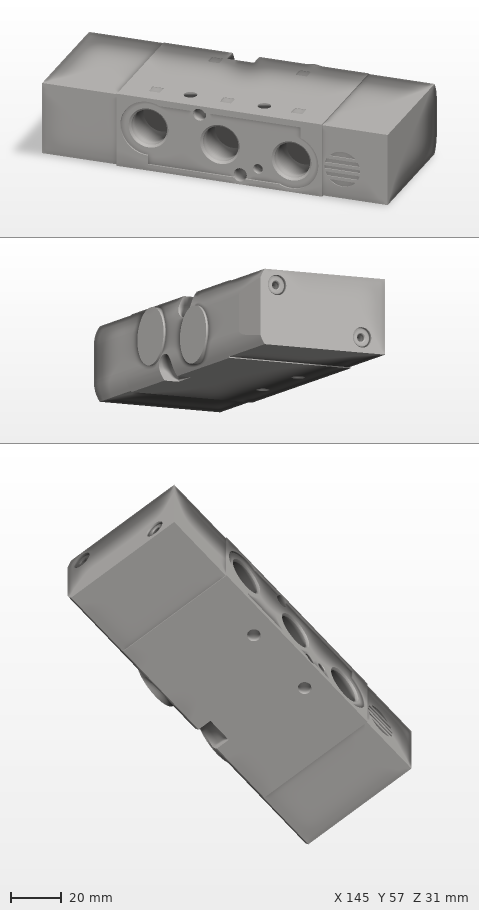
import cadquery as cq
import math


VALVE_LENGTH = 145.0

HOUSING_LENGTH = 86.1
HOUSING_HEIGHT = 31.0
CROWN_Y = 56.0
CROWN_FLAT_HALF_HEIGHT = 7.2
EDGE_Y = 53.0

LEFT_CAP_LENGTH = 31.5
RIGHT_CAP_LENGTH = VALVE_LENGTH - HOUSING_LENGTH - LEFT_CAP_LENGTH
CAP_INSET = 0.5
TAPER_LENGTH = 17.4
TAPER_DROP = 0.7

PORT_DIAMETER = 15.0
PORT_RIM_DIAMETER = 16.7
PORT_DEPTH = 14.5
PORT_PITCH = 30.0
PORT_RISE = 2.5
PILOT_DIAMETER = 3.8
PILOT_RIM_DIAMETER = 4.0
PILOT_DEPTH = 4.4
PILOT_X = 16.0
PILOT_Z = -8.0

GASKET_DIAMETER = 23.0
GASKET_HALF_HEIGHT = 12.9
GASKET_RIGHT_X = 34.1
GASKET_DEPTH = 0.7

MOUNT_DIAMETER = 5.4
TOP_MOUNT_X = 15.5
TOP_MOUNT_Y = 9.1
CROSS_MOUNT_X = 8.5
CROSS_MOUNT_Z = 11.6
NOTCH_WIDTH = 11.2
NOTCH_FLOOR_Y = 47.0

PAD_DIAMETER = 23.0
PAD_Y = 57.0
PAD_X = 18.7
PAD_Z = 2.6

LABEL_SIZE = 4.6
LABEL_DEPTH = 0.1
BACK_LABELS_X = (-18.0, 18.8)
BACK_LABEL_Y = 44.1
FRONT_LABEL_X = 29.9

VENT_DIAMETER = 15.0
VENT_X = 51.5
VENT_Z = -2.6
VENT_DEPTH = 0.5
VENT_BAR_HEIGHT = 1.3
VENT_BAR_OFFSETS = (1.3, 4.4)

SCREW_DIAMETER = 8.1
SCREW_FACE_DIAMETER = 7.0
SCREW_LENGTH = 5.8
SCREW_SINK = 0.9
SCREW_LOW_Y = 10.6
SCREW_HIGH_Y = 48.0
SCREW_Z = 9.0
SOCKET_RIM_DIAMETER = 3.8
SOCKET_DIAMETER = 3.0
SOCKET_DEPTH = 1.7
SOCKET_CONE_DEPTH = 1.2

HOUSING_LEFT_X = -HOUSING_LENGTH / 2
HOUSING_RIGHT_X = HOUSING_LENGTH / 2
LEFT_END_X = HOUSING_LEFT_X - LEFT_CAP_LENGTH

HALF_HEIGHT = HOUSING_HEIGHT / 2
CROWN_DROP = CROWN_Y - EDGE_Y
CROWN_ARC_HEIGHT = HALF_HEIGHT - CROWN_FLAT_HALF_HEIGHT
CROWN_RADIUS = (CROWN_ARC_HEIGHT**2 + CROWN_DROP**2) / (2 * CROWN_DROP)


def crown_y_at(z):
    """Y of the rounded back at height z, above its flat middle."""
    rise = z - CROWN_FLAT_HALF_HEIGHT
    return CROWN_Y - CROWN_RADIUS + math.sqrt(CROWN_RADIUS**2 - rise**2)


def crowned_block(start_x, length, inset):
    """A block along X with a flat port side and a rounded back."""
    half_height = HALF_HEIGHT - inset
    edge_y = crown_y_at(half_height)
    middle_z = (CROWN_FLAT_HALF_HEIGHT + half_height) / 2
    middle_y = crown_y_at(middle_z)
    return (
        cq.Workplane("YZ", origin=(start_x, 0, 0))
        .moveTo(inset, -half_height)
        .lineTo(edge_y, -half_height)
        .threePointArc((middle_y, -middle_z), (CROWN_Y, -CROWN_FLAT_HALF_HEIGHT))
        .lineTo(CROWN_Y, CROWN_FLAT_HALF_HEIGHT)
        .threePointArc((middle_y, middle_z), (edge_y, half_height))
        .lineTo(inset, half_height)
        .close()
        .extrude(length)
    )


def rod_y(diameter, x, z, start_y, end_y):
    """A round bar along +Y."""
    axis = cq.Vector(0, 1, 0)
    return cq.Workplane(cq.Solid.makeCylinder(diameter / 2, end_y - start_y, cq.Vector(x, start_y, z), axis))


def rimmed_hole(diameter, rim_diameter, x, z, depth):
    """A blind hole from the recessed port face, with a 45 degree rim."""
    rim_depth = (rim_diameter - diameter) / 2
    rim = cq.Solid.makeCone(
        rim_diameter / 2, diameter / 2, rim_depth, cq.Vector(x, GASKET_DEPTH, z), cq.Vector(0, 1, 0)
    )
    return rod_y(diameter, x, z, GASKET_DEPTH, GASKET_DEPTH + depth).union(cq.Workplane(rim))


def gasket_recess():
    """A pocket made of a disc around each outer port and a rectangle that joins them."""
    recess = cq.Workplane("XY").box(
        GASKET_RIGHT_X + PORT_PITCH, GASKET_DEPTH, 2 * GASKET_HALF_HEIGHT, centered=(False, False, True)
    ).translate((-PORT_PITCH, 0, 0))
    for side in (-1, 1):
        recess = recess.union(rod_y(GASKET_DIAMETER, side * PORT_PITCH, -side * PORT_RISE, 0, GASKET_DEPTH))
    return recess


def mount_notch(side):
    """A round-bottomed notch, open to the top (side 1) or the bottom (side -1), along a cross hole."""
    x = -side * CROSS_MOUNT_X
    z = side * CROSS_MOUNT_Z
    depth = PAD_Y - NOTCH_FLOOR_Y
    opening = cq.Workplane("XY").box(NOTCH_WIDTH, depth, HALF_HEIGHT, centered=(True, False, True))
    opening = opening.translate((x, NOTCH_FLOOR_Y, z + side * HALF_HEIGHT / 2))
    return rod_y(NOTCH_WIDTH, x, z, NOTCH_FLOOR_Y, PAD_Y).union(opening)


def label_recesses():
    """Square recesses beside the ports, in the top face."""
    places = [(x, BACK_LABEL_Y) for x in BACK_LABELS_X]
    places += [(column * FRONT_LABEL_X, TOP_MOUNT_Y) for column in (-1, 0, 1)]
    return (
        cq.Workplane("XY", origin=(0, 0, HALF_HEIGHT))
        .pushPoints(places)
        .rect(LABEL_SIZE, LABEL_SIZE)
        .extrude(-LABEL_DEPTH)
    )


def make_housing():
    housing = crowned_block(HOUSING_LEFT_X, HOUSING_LENGTH, 0)
    for side in (-1, 1):
        housing = housing.union(rod_y(PAD_DIAMETER, side * PAD_X, side * PAD_Z, EDGE_Y, PAD_Y))

    housing = housing.cut(gasket_recess())
    for column in (-1, 0, 1):
        port = rimmed_hole(
            PORT_DIAMETER, PORT_RIM_DIAMETER, column * PORT_PITCH, -column * PORT_RISE, PORT_DEPTH
        )
        housing = housing.cut(port)
    housing = housing.cut(rimmed_hole(PILOT_DIAMETER, PILOT_RIM_DIAMETER, PILOT_X, PILOT_Z, PILOT_DEPTH))

    for side in (-1, 1):
        housing = housing.cut(rod_y(MOUNT_DIAMETER, -side * CROSS_MOUNT_X, side * CROSS_MOUNT_Z, 0, PAD_Y))
        housing = housing.cut(mount_notch(side))
    top_holes = (
        cq.Workplane("XY", origin=(0, 0, -HALF_HEIGHT))
        .pushPoints([(-TOP_MOUNT_X, TOP_MOUNT_Y), (TOP_MOUNT_X, TOP_MOUNT_Y)])
        .circle(MOUNT_DIAMETER / 2)
        .extrude(HOUSING_HEIGHT)
    )
    return housing.cut(top_holes).cut(label_recesses())


def screw_places():
    """Y and Z of the two screw axes, at opposite corners of the cap."""
    return [(SCREW_LOW_Y, -SCREW_Z), (SCREW_HIGH_Y, SCREW_Z)]


def make_left_cap():
    cap = crowned_block(LEFT_END_X, LEFT_CAP_LENGTH, CAP_INSET)
    taper = (
        cq.Workplane("XY")
        .moveTo(LEFT_END_X, CROWN_Y - TAPER_DROP)
        .lineTo(LEFT_END_X + TAPER_LENGTH, CROWN_Y)
        .lineTo(LEFT_END_X, CROWN_Y)
        .close()
        .extrude(HALF_HEIGHT, both=True)
    )
    screw_holes = (
        cq.Workplane("YZ", origin=(LEFT_END_X, 0, 0))
        .pushPoints(screw_places())
        .circle(SCREW_DIAMETER / 2)
        .extrude(SCREW_SINK + SCREW_LENGTH)
    )
    return cap.cut(taper).cut(screw_holes)


def make_screw(y, z):
    """A screw head with a bevelled edge and a countersunk socket that ends in a cone."""
    rim_depth = (SOCKET_RIM_DIAMETER - SOCKET_DIAMETER) / 2
    bevel = (SCREW_DIAMETER - SCREW_FACE_DIAMETER) / 2
    profile = (
        cq.Workplane("XY")
        .moveTo(SOCKET_DEPTH + SOCKET_CONE_DEPTH, 0)
        .lineTo(SOCKET_DEPTH, SOCKET_DIAMETER / 2)
        .lineTo(rim_depth, SOCKET_DIAMETER / 2)
        .lineTo(0, SOCKET_RIM_DIAMETER / 2)
        .lineTo(0, SCREW_FACE_DIAMETER / 2)
        .lineTo(bevel, SCREW_DIAMETER / 2)
        .lineTo(SCREW_LENGTH, SCREW_DIAMETER / 2)
        .lineTo(SCREW_LENGTH, 0)
        .close()
    )
    return profile.revolve(360, (0, 0), (1, 0)).translate((LEFT_END_X + SCREW_SINK, y, z))


def make_right_cap():
    """The right cap, with a round vent recess crossed by four bars."""
    cap = crowned_block(HOUSING_RIGHT_X, RIGHT_CAP_LENGTH, CAP_INSET)
    vent_floor_y = CAP_INSET + VENT_DEPTH
    vent = rod_y(VENT_DIAMETER, VENT_X, VENT_Z, CAP_INSET, vent_floor_y)
    for offset in VENT_BAR_OFFSETS:
        for side in (-1, 1):
            bar = cq.Workplane("XY").box(VENT_DIAMETER, 2 * vent_floor_y, VENT_BAR_HEIGHT)
            vent = vent.cut(bar.translate((VENT_X, 0, VENT_Z + side * offset)))
    return cap.cut(vent)


housing = make_housing()
left_cap = make_left_cap()
right_cap = make_right_cap()
screws = [make_screw(y, z) for y, z in screw_places()]

result = cq.Compound.makeCompound(
    [housing.val(), left_cap.val(), right_cap.val(), *[screw.val() for screw in screws]]
)